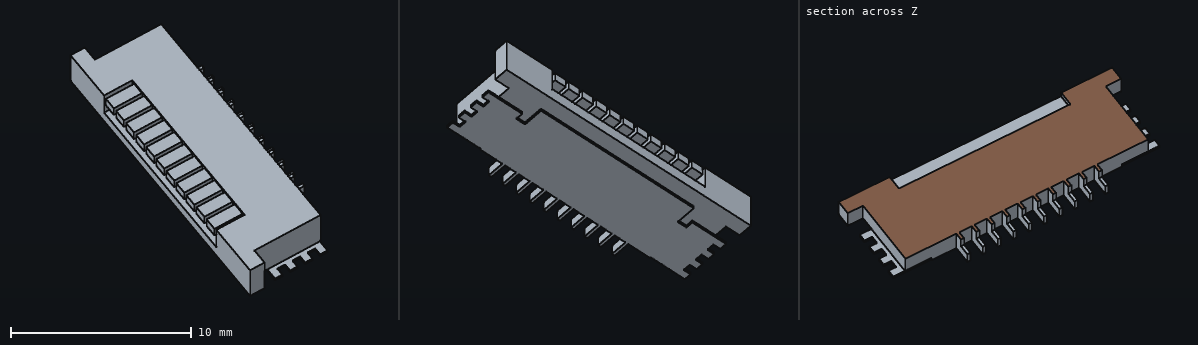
import cadquery as cq

LENGTH = 17.92
HEIGHT = 2.56
PITCH = 1.0
CONTACT_COUNT = 10

STANDOFF = 0.16

BODY_WIDTH = 15.91
BODY_DEPTH = 5.4
EAR_DEPTH = 0.97
FOOT_WIDTH = 11.2
FOOT_STRIP_WIDTH = 12.47
FOOT_STRIP_SETBACK = 0.5

OPENING_WIDTH = 11.2
OPENING_FLOOR = 0.97
SLOT_WIDTH = 0.22
SLOT_DEPTH = 1.88
BLOCK_BOTTOM = 1.85
BLOCK_TOP_DROP = 0.1

TAIL_WIDTH = SLOT_WIDTH
TAIL_LENGTH = 1.15
TAIL_NECK_LENGTH = 0.48
TAIL_NECK_HEIGHT = 2.08
TAIL_TOE_HEIGHT = 0.7

TAB_SPAN = 17.44
TAB_FRONT = 1.83
TAB_BACK = BODY_DEPTH - 0.05
TOOTH_COUNT = 4
TOOTH_LENGTH = 0.5
TOOTH_WIDTH = (TAB_BACK - TAB_FRONT) / (2 * TOOTH_COUNT - 1)


def centered_box(width, y_start, y_end, z_bottom, z_top, x_center=0.0):
    """Box centred on x_center, between the given Y and Z limits."""
    return (
        cq.Workplane("XY")
        .box(width, y_end - y_start, z_top - z_bottom, centered=(True, False, False))
        .translate((x_center, y_start, z_bottom))
    )


def row_positions(count):
    """X positions of a row at the contact pitch, centred on X = 0."""
    return [(i - (count - 1) / 2) * PITCH for i in range(count)]


def make_housing():
    body = centered_box(BODY_WIDTH, 0, BODY_DEPTH, STANDOFF, HEIGHT)
    ears = centered_box(LENGTH, 0, EAR_DEPTH, STANDOFF, HEIGHT)
    foot = centered_box(FOOT_WIDTH, EAR_DEPTH, BODY_DEPTH, 0, STANDOFF)
    strip_front = TAB_FRONT + FOOT_STRIP_SETBACK
    foot_strips = centered_box(FOOT_STRIP_WIDTH, strip_front, BODY_DEPTH, 0, STANDOFF)
    return body.union(ears).union(foot).union(foot_strips)


def cut_opening(housing):
    """Cut the low opening and, above it, the deeper recess that holds the blocks."""
    lower = centered_box(OPENING_WIDTH, 0, EAR_DEPTH, OPENING_FLOOR, BLOCK_BOTTOM)
    upper = centered_box(OPENING_WIDTH, 0, SLOT_DEPTH, BLOCK_BOTTOM, HEIGHT)
    return housing.cut(lower).cut(upper)


def make_block(x):
    """Block between two slots, overhanging the opening."""
    return centered_box(PITCH - SLOT_WIDTH, 0, SLOT_DEPTH, BLOCK_BOTTOM, HEIGHT - BLOCK_TOP_DROP, x)


def make_tail(x):
    """L-shaped contact tail: a tall neck on the housing and a low toe."""
    neck_end = BODY_DEPTH + TAIL_NECK_LENGTH
    neck = centered_box(TAIL_WIDTH, BODY_DEPTH, neck_end, 0, TAIL_NECK_HEIGHT, x)
    toe = centered_box(TAIL_WIDTH, neck_end, BODY_DEPTH + TAIL_LENGTH, 0, TAIL_TOE_HEIGHT, x)
    return neck.union(toe)


def make_solder_tabs():
    """Plate reaching out on both sides, notched into teeth at its ends."""
    tabs = centered_box(TAB_SPAN, TAB_FRONT, TAB_BACK, 0, STANDOFF)
    tabs = tabs.cut(centered_box(FOOT_STRIP_WIDTH, TAB_FRONT, TAB_BACK, 0, STANDOFF))
    for side in (-1, 1):
        notch_center = side * (TAB_SPAN - TOOTH_LENGTH) / 2
        for i in range(TOOTH_COUNT - 1):
            notch_start = TAB_FRONT + (2 * i + 1) * TOOTH_WIDTH
            notch_end = notch_start + TOOTH_WIDTH
            tabs = tabs.cut(
                centered_box(TOOTH_LENGTH, notch_start, notch_end, 0, STANDOFF, notch_center)
            )
    return tabs


result = cut_opening(make_housing())
for block_x in row_positions(CONTACT_COUNT + 1):
    result = result.union(make_block(block_x))
for tail_x in row_positions(CONTACT_COUNT):
    result = result.union(make_tail(tail_x))
result = result.union(make_solder_tabs())